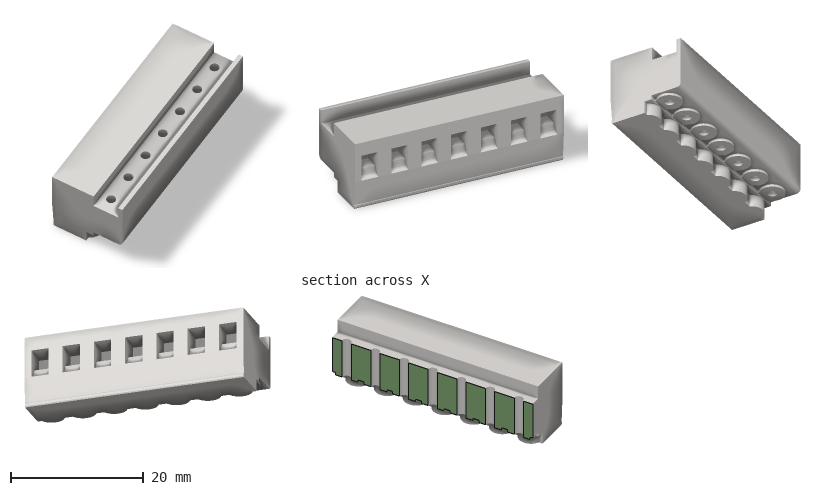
import cadquery as cq

depth = 12.4
length = 35.0
height = 11.3

pole_count = 7
pole_pitch = length / pole_count
pole_positions = [(i - (pole_count - 1) / 2) * pole_pitch for i in range(pole_count)]

channel_front = 7.3
channel_back = 11.65
channel_floor = 9.05

skirt_back = 7.2
overhang_bottom = 2.73
overhang_radius = 0.75

taper_top = 4.75
taper_inset = 0.28
lip_outer = 0.2
lip_ledge_top = 0.65
lip_top = 0.55
lip_chamfer_depth = 0.1
lip_chamfer_height = 0.18

screw_x = 8.9
screw_hole_diameter = 1.5
boss_radius = 2.03
boss_drop = 0.42
boss_blend_radius = 0.1

rib_radius = boss_radius
rib_center_x = skirt_back - rib_radius
rib_projection = 1.2
rib_height = 2.03
skirt_recess_back = skirt_back - rib_projection

pocket_width = 2.75
pocket_depth = 3.5
pocket_top = 9.05
pocket_back_top = 8.8
ramp_end = (0.75, 5.18)
curve_mid = (0.85, 5.35)
curve_end = (0.95, 5.6)
ledge_start = (1.12, 6.23)


def make_body():
    """Cross-section of the housing, extruded over the full length."""
    profile = (
        cq.Workplane("XZ")
        .moveTo(0, height)
        .lineTo(channel_front, height)
        .lineTo(channel_front, channel_floor)
        .lineTo(channel_back, channel_floor)
        .lineTo(channel_back, height)
        .lineTo(depth, height)
        .lineTo(depth, overhang_bottom + overhang_radius)
        .radiusArc((depth - overhang_radius, overhang_bottom), overhang_radius)
        .lineTo(skirt_back, overhang_bottom)
        .lineTo(skirt_back, rib_height)
        .lineTo(skirt_recess_back, rib_height)
        .lineTo(skirt_recess_back, 0)
        .lineTo(lip_outer + lip_chamfer_depth, 0)
        .lineTo(lip_outer, lip_chamfer_height)
        .lineTo(lip_outer, lip_top)
        .lineTo(taper_inset, lip_ledge_top)
        .lineTo(0, taper_top)
        .close()
    )
    return profile.extrude(length / 2, both=True)


def make_ribs():
    """Upright rounded ribs on the back of the skirt, one per pole."""
    return (
        cq.Workplane("XY")
        .pushPoints([(rib_center_x, y) for y in pole_positions])
        .circle(rib_radius)
        .extrude(rib_height)
    )


def add_bosses(body):
    """Round bosses under the overhang, blended into the skirt wall."""
    boss_bottom = overhang_bottom - boss_drop
    bosses = (
        cq.Workplane("XY", origin=(0, 0, boss_bottom))
        .pushPoints([(screw_x, y) for y in pole_positions])
        .circle(boss_radius)
        .extrude(boss_drop)
    )
    body = body.union(bosses)
    tolerance = 0.05
    joint_zone = cq.selectors.BoxSelector(
        (skirt_back - tolerance, -length / 2 + tolerance, boss_bottom),
        (skirt_back + tolerance, length / 2 - tolerance, overhang_bottom),
    )
    return body.edges("|Z").edges(joint_zone).fillet(boss_blend_radius)


def make_screw_holes():
    """Vertical screw holes through the channel floor and the bosses."""
    return (
        cq.Workplane("XY")
        .pushPoints([(screw_x, y) for y in pole_positions])
        .circle(screw_hole_diameter / 2)
        .extrude(height)
    )


def make_pocket(y):
    """Wire pocket with a lead-in ramp that curves up to a raised ledge."""
    profile = (
        cq.Workplane("XZ", origin=(0, y, 0))
        .moveTo(0, taper_top)
        .lineTo(*ramp_end)
        .threePointArc(curve_mid, curve_end)
        .lineTo(*ledge_start)
        .lineTo(pocket_depth, ledge_start[1])
        .lineTo(pocket_depth, pocket_back_top)
        .lineTo(0, pocket_top)
        .close()
    )
    return profile.extrude(pocket_width / 2, both=True)


result = add_bosses(make_body())
result = result.union(make_ribs())
result = result.cut(make_screw_holes())
for pole_y in pole_positions:
    result = result.cut(make_pocket(pole_y))